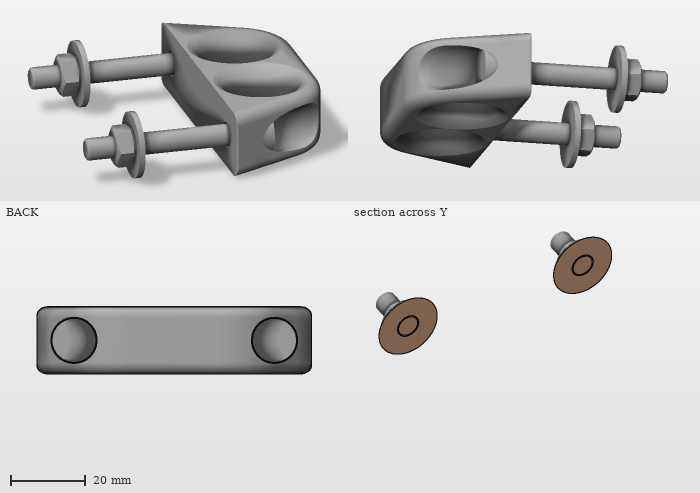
import cadquery as cq
import math

body_height = 29.5
body_thickness = 18.0
base_half_width = 36.99
shoulder_radius = 16.0
edge_fillet = 3.0
corner_radius = 0.5

hole_half_spacing = 12.75
hole_height = body_height - shoulder_radius
hole_throat_radius = 14.0 / 2
flare_radius = 10.0

bolt_half_spacing = 26.8
bolt_diameter = 6.0
bolt_length = 45.0
bolt_tip_chamfer = 0.5
head_diameter = 11.8
head_height = 6.0
bolt_hole_diameter = 7.0
counterbore_diameter = 12.3
counterbore_floor = 5.8

washer_diameter = 18.0
washer_bore = 6.4
washer_thickness = 1.6
washer_top = -25.0

nut_across_corners = 11.6
nut_height = 5.0
nut_collar_diameter = 9.9
nut_collar_height = 0.3
nut_end_diameter = 9.0
nut_chamfer_angle = math.radians(30)


def cylinder_along_y(x, y_start, diameter, length):
    """Cylinder on the bolt axis at x, growing toward +Y from y_start."""
    axis = cq.Vector(0, 1, 0)
    return cq.Workplane(cq.Solid.makeCylinder(diameter / 2, length, cq.Vector(x, y_start, 0), axis))


def body_profile():
    """Trapezoid outline whose sloping sides are tangent to the shoulder arcs."""
    run = base_half_width - hole_half_spacing
    slope_angle = math.atan2(hole_height, run) + math.asin(shoulder_radius / math.hypot(run, hole_height))
    normal_angle = math.pi / 2 - slope_angle
    mid_arc_angle = (normal_angle + math.pi / 2) / 2

    def on_shoulder(angle, side):
        x = hole_half_spacing + shoulder_radius * math.cos(angle)
        return side * x, hole_height + shoulder_radius * math.sin(angle)

    return (
        cq.Workplane("XY", origin=(0, 0, -body_thickness / 2))
        .moveTo(-base_half_width, 0)
        .lineTo(base_half_width, 0)
        .lineTo(*on_shoulder(normal_angle, 1))
        .threePointArc(on_shoulder(mid_arc_angle, 1), (hole_half_spacing, body_height))
        .lineTo(-hole_half_spacing, body_height)
        .threePointArc(on_shoulder(mid_arc_angle, -1), on_shoulder(normal_angle, -1))
        .close()
    )


def rounded_block():
    """Body with filleted long edges and lightly rounded base corners."""
    block = body_profile().extrude(body_thickness)
    corner_rounded = block.edges("|Z").edges("<X or >X").fillet(corner_radius)
    filleted = block.faces("<Z or >Z").edges("not <Y").fillet(edge_fillet)
    return filleted.intersect(corner_rounded)


def flared_hole(x):
    """Hole cutter: narrowest at mid thickness, opening along an arc to both faces."""
    half = body_thickness / 2
    mouth_radius = hole_throat_radius + flare_radius - math.sqrt(flare_radius**2 - half**2)
    return (
        cq.Workplane("XZ", origin=(x, hole_height, 0))
        .moveTo(0, -half)
        .lineTo(mouth_radius, -half)
        .threePointArc((hole_throat_radius, 0), (mouth_radius, half))
        .lineTo(0, half)
        .close()
        .revolve(360, (0, 0, 0), (0, 1, 0))
    )


def bolt_pocket(x):
    """Clearance hole with a counterbore open to the sloping side."""
    clearance = cylinder_along_y(x, 0, bolt_hole_diameter, body_height)
    counterbore = cylinder_along_y(x, counterbore_floor, counterbore_diameter, body_height)
    return clearance.union(counterbore)


def bolt(x):
    """Cylindrical-head bolt seated on the counterbore floor."""
    shank = cylinder_along_y(x, counterbore_floor - bolt_length, bolt_diameter, bolt_length)
    shank = shank.faces("<Y").chamfer(bolt_tip_chamfer)
    head = cylinder_along_y(x, counterbore_floor, head_diameter, head_height)
    return shank.union(head)


def washer(x):
    """Flat washer resting on the nut, with clearance around the bolt."""
    y_bottom = washer_top - washer_thickness
    disc = cylinder_along_y(x, y_bottom, washer_diameter, washer_thickness)
    return disc.cut(cylinder_along_y(x, y_bottom, washer_bore, washer_thickness))


def nut(x):
    """Hexagon with corners along X, trimmed by a double cone, with a collar under the washer."""
    y_top = washer_top - washer_thickness
    hex_radius = nut_across_corners / 2
    collar_radius = nut_collar_diameter / 2
    end_radius = nut_end_diameter / 2
    top_drop = (hex_radius - collar_radius) * math.tan(nut_chamfer_angle)
    end_rise = (hex_radius - end_radius) * math.tan(nut_chamfer_angle)
    hexagon = (
        cq.Workplane("XZ", origin=(x, y_top, 0))
        .polygon(6, nut_across_corners)
        .extrude(nut_height)
    )
    envelope = (
        cq.Workplane("XY", origin=(x, y_top, 0))
        .polyline([
            (0, 0),
            (collar_radius, 0),
            (collar_radius, -nut_collar_height),
            (hex_radius, -nut_collar_height - top_drop),
            (hex_radius, end_rise - nut_height),
            (end_radius, -nut_height),
            (0, -nut_height),
        ])
        .close()
        .revolve(360, (0, 0, 0), (0, 1, 0))
    )
    return hexagon.intersect(envelope)


result = rounded_block()
for side in (-1, 1):
    result = result.cut(flared_hole(side * hole_half_spacing))
    bolt_x = side * bolt_half_spacing
    result = result.cut(bolt_pocket(bolt_x))
    for fastener in (bolt, washer, nut):
        result = result.union(fastener(bolt_x))